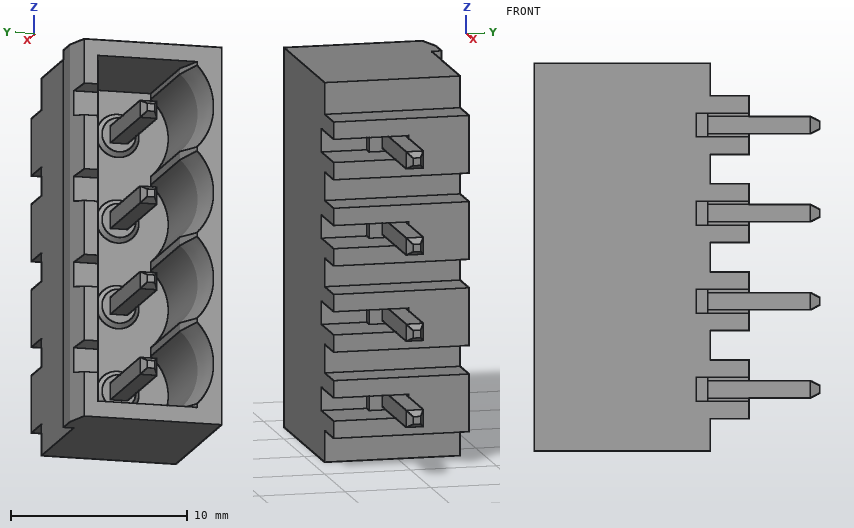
import cadquery as cq


length = 22.0
contact_count = 4
pitch = 5.0
housing_depth = 9.99
housing_width = 7.9
first_contact = (length - pitch * (contact_count - 1)) / 2
contact_heights = [first_contact + pitch * i for i in range(contact_count)]

lip_height = 0.6
lip_depth = 3.0
lip_ramp_depth = 1.55
lip_ramp_drop = 0.42
lip_top = housing_width + lip_height

cavity_depth = 8.2
end_wall = 0.92
cavity_top = 6.86
mouth_top = 7.3
mouth_depth = 1.5
cavity_bottom = 1.95
mouth_bottom = 1.45

scallop_radius = 2.97
scallop_mouth_radius = 3.4
scallop_taper_depth = 1.85

notch_depth = 1.15
notch_floor_height = 1.43
notch_mouth_height = 1.85

pin_size = 1.0
pin_tip_size = 0.45
pin_tip_length = 0.53
pin_start = 1.0
pin_end = 16.2
pin_center = 3.9

boss_radius = 1.25
boss_top_radius = 1.0
boss_height = boss_radius - boss_top_radius

rib_end = 12.19
rib_thickness = 3.35
slot_thickness = 1.35
slot_start = 9.2
slot_step = 9.83
slot_step_level = 2.65
slot_floor = pin_center + pin_size / 2


def prism(outline, z_low, z_high):
    """Extrude an XY outline between two heights."""
    return cq.Workplane("XY", origin=(0, 0, z_low)).polyline(outline).close().extrude(z_high - z_low)


def centered_prism(outline, z_center, thickness):
    return prism(outline, z_center - thickness / 2, z_center + thickness / 2)


def rectangle(x_low, x_high, y_low, y_high):
    return [(x_low, y_low), (x_high, y_low), (x_high, y_high), (x_low, y_high)]


def turned(profile, y, z):
    """Revolve a (radius, x) profile about an axis parallel to X."""
    plane = cq.Plane(origin=(0, y, z), xDir=(0, 1, 0), normal=(0, 0, 1))
    points = [(radius, -x) for radius, x in profile]
    return cq.Workplane(plane).polyline(points).close().revolve(360, (0, 0), (0, 1))


def square_frustum(x, size, x_end, end_size, z):
    """Taper a square along X, centered on the pin axis."""
    plane = cq.Plane(origin=(x, pin_center, z), xDir=(0, 1, 0), normal=(1, 0, 0))
    sketch = cq.Workplane(plane).rect(size, size)
    return sketch.workplane(offset=x_end - x).rect(end_size, end_size).loft(ruled=True)


def make_housing():
    outline = [
        (0, 0),
        (housing_depth, 0),
        (housing_depth, housing_width),
        (lip_depth, housing_width),
        (lip_depth, lip_top),
        (lip_ramp_depth, lip_top),
        (0, lip_top - lip_ramp_drop),
    ]
    return prism(outline, 0, length)


def make_cavity():
    outline = [
        (0, mouth_bottom),
        (scallop_taper_depth, cavity_bottom),
        (cavity_depth, cavity_bottom),
        (cavity_depth, cavity_top),
        (mouth_depth, cavity_top),
        (0, mouth_top),
    ]
    cavity = prism(outline, end_wall, length - end_wall)
    limits = prism(rectangle(0, cavity_depth, 0, pin_center), end_wall, length - end_wall)
    profile = [
        (0, 0),
        (scallop_mouth_radius, 0),
        (scallop_radius, scallop_taper_depth),
        (scallop_radius, cavity_depth),
        (0, cavity_depth),
    ]
    for z in contact_heights:
        cavity = cavity.union(turned(profile, pin_center, z).intersect(limits))
    return cavity


def make_notch(z):
    outline = [
        (0, z - notch_mouth_height / 2),
        (notch_depth, z - notch_floor_height / 2),
        (notch_depth, z + notch_floor_height / 2),
        (0, z + notch_mouth_height / 2),
    ]
    plane = cq.Workplane("XZ", origin=(0, lip_top, 0))
    return plane.polyline(outline).close().extrude(lip_top - pin_center)


def make_rib(z):
    return centered_prism(rectangle(housing_depth, rib_end, 0, housing_width), z, rib_thickness)


def make_slot(z):
    outline = [
        (slot_start, 0),
        (rib_end, 0),
        (rib_end, slot_floor),
        (slot_step, slot_floor),
        (slot_step, slot_step_level),
        (slot_start, slot_step_level),
    ]
    return centered_prism(outline, z, slot_thickness)


def make_boss(z):
    tip = cavity_depth - boss_height
    profile = [(0, tip), (boss_top_radius, tip), (boss_radius, cavity_depth), (0, cavity_depth)]
    return turned(profile, pin_center, z)


def make_pin(z):
    shank_start = pin_start + pin_tip_length
    shank_end = pin_end - pin_tip_length
    front_tip = square_frustum(pin_start, pin_tip_size, shank_start, pin_size, z)
    shank = square_frustum(shank_start, pin_size, shank_end, pin_size, z)
    back_tip = square_frustum(shank_end, pin_size, pin_end, pin_tip_size, z)
    return front_tip.union(shank).union(back_tip)


result = make_housing().cut(make_cavity())
for height in contact_heights:
    result = result.cut(make_notch(height))
    result = result.union(make_rib(height)).cut(make_slot(height))
    result = result.union(make_boss(height)).union(make_pin(height))